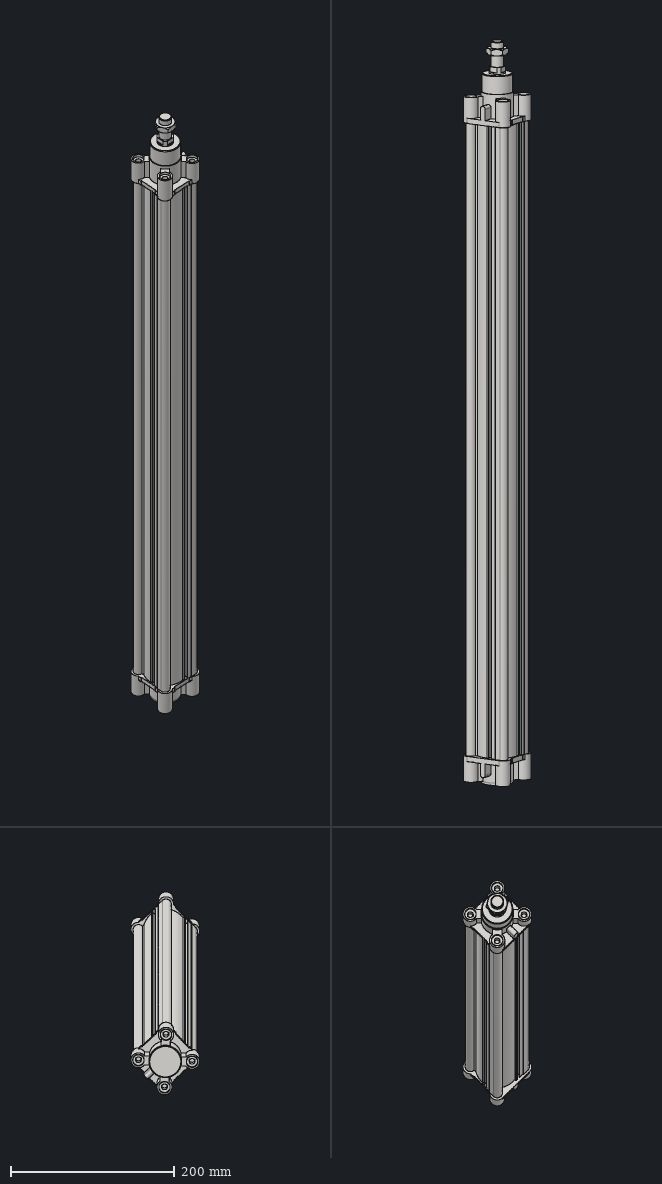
import cadquery as cq
import math


overall_length = 929.0
rear_collar_height = 4.0
cover_length = 32.5
cover_base_thickness = 6.5
front_mount_face = 861.0
front_collar_top = 889.0
spigot_height = 5.0
rod_shoulder = 897.0
tube_start = rear_collar_height + cover_length
tube_end = front_mount_face - cover_length

collar_diameter = 38.0
collar_chamfer = 1.0
rear_collar_chamfer = 1.0
cover_core_diameter = 40.0
post_pitch = 46.0
post_diameter = 19.0
web_width = 11.0
base_notch_width = 24.0
base_notch_depth = 1.0
port_side_reach = 32.5
port_boss_width = 7.0
port_boss_drop = 8.0
screw_recess_diameter = 14.0
screw_recess_depth = 4.0
screw_hole_diameter = 7.0
screw_hole_depth = 15.0

tube_core_diameter = 54.0
tube_width = 59.0
tube_corner_diameter = tube_width - post_pitch
rail_step_x = 16.0
rail_start_x = 4.0
rail_depth = 1.0
slot_center_x = 7.9
slot_width = 4.0
slot_channel_diameter = 7.0
slot_channel_inset = 5.0

rod_diameter = 20.0
rod_flat_width = 18.0
rod_flat_length = 6.5
thread_diameter = 16.0
thread_tip_diameter = 14.0
nut_width = 24.0
nut_height = 8.0
nut_top = 921.0
nut_chamfer_height = 2.0
half_hex_angle = 30

quarter_turns = [0, 90, 180, 270]
half_pitch = post_pitch / 2
post_points = [(x, y) for x in (-half_pitch, half_pitch) for y in (-half_pitch, half_pitch)]


def cylinder(diameter, bottom, top):
    return cq.Workplane("XY").workplane(offset=bottom).circle(diameter / 2).extrude(top - bottom)


def block(x_min, x_max, y_min, y_max, bottom, top):
    return cq.Workplane("XY").box(
        x_max - x_min, y_max - y_min, top - bottom, centered=False
    ).translate((x_min, y_min, bottom))


def turn(body, angle):
    return body.rotate((0, 0, 0), (0, 0, 1), angle)


def make_cover():
    """End cover with its tube side at z = 0 and its mounting face at z = cover_length."""
    cover = cylinder(cover_core_diameter, 0, cover_length)
    half_base = tube_width / 2
    base = block(-half_base, half_base, -half_base, half_base, 0, cover_base_thickness)
    notch = block(
        -base_notch_width / 2, base_notch_width / 2,
        -half_base, base_notch_depth - half_base, 0, cover_base_thickness,
    )
    for angle in quarter_turns:
        base = base.cut(turn(notch, angle))
    cover = cover.union(base)

    web_reach = math.hypot(half_pitch, half_pitch)
    for angle in (45, 135):
        web = block(-web_reach, web_reach, -web_width / 2, web_width / 2, 0, cover_length)
        cover = cover.union(turn(web, angle))
    for x, y in post_points:
        cover = cover.union(cylinder(post_diameter, 0, cover_length).translate((x, y, 0)))

    boss_radius = port_boss_width / 2
    boss_center_height = cover_length - port_boss_drop - boss_radius
    port_base = block(-half_pitch, half_pitch, 0, port_side_reach, 0, cover_base_thickness)
    boss_wall = block(-boss_radius, boss_radius, 0, port_side_reach, 0, boss_center_height)
    boss_top = (
        cq.Workplane("XZ", origin=(0, 0, boss_center_height)).circle(boss_radius).extrude(-port_side_reach)
    )
    cover = cover.union(port_base).union(boss_wall).union(boss_top)

    recess = cylinder(screw_recess_diameter, cover_length - screw_recess_depth, cover_length)
    hole = cylinder(screw_hole_diameter, cover_length - screw_hole_depth, cover_length)
    for x, y in post_points:
        cover = cover.cut(recess.union(hole).translate((x, y, 0)))
    return cover


def make_tube():
    """Round tube with four corner ribs and a slotted rail on each side."""
    half_width = tube_width / 2
    tube = cylinder(tube_core_diameter, tube_start, tube_end)
    for angle in quarter_turns:
        corner = cylinder(tube_corner_diameter, tube_start, tube_end).translate((half_pitch, -half_pitch, 0))
        shoulder = block(rail_step_x, half_pitch, -half_width, 0, tube_start, tube_end)
        rail = block(rail_start_x, rail_step_x, rail_depth - half_width, 0, tube_start, tube_end)
        tube = tube.union(turn(corner.union(shoulder).union(rail), angle))
    channel_y = slot_channel_inset - half_width
    opening = block(
        slot_center_x - slot_width / 2, slot_center_x + slot_width / 2,
        -half_width, channel_y, tube_start, tube_end,
    )
    channel = cylinder(slot_channel_diameter, tube_start, tube_end).translate((slot_center_x, channel_y, 0))
    slot = opening.union(channel)
    for angle in quarter_turns:
        tube = tube.cut(turn(slot, angle))
    return tube


def make_housing():
    front_cover = make_cover().translate((0, 0, tube_end))
    rear_cover = make_cover().mirror("XY").translate((0, 0, tube_start))
    housing = make_tube().union(front_cover).union(rear_cover)

    spigot = cylinder(cover_core_diameter, front_mount_face, front_mount_face + spigot_height)
    front_collar = cylinder(collar_diameter, front_mount_face, front_collar_top)
    front_collar = front_collar.faces(">Z").chamfer(collar_chamfer)
    rear_collar = cylinder(cover_core_diameter, 0, rear_collar_height)
    rear_collar = rear_collar.faces("<Z").chamfer(rear_collar_chamfer)
    housing = housing.union(spigot).union(front_collar).union(rear_collar)
    return housing.cut(cylinder(rod_diameter, tube_end, front_collar_top))


def make_rod():
    """Rod with four wrench flats below its threaded end."""
    shank = cylinder(rod_diameter, tube_end, rod_shoulder)
    flat_bottom = rod_shoulder - rod_flat_length
    half_flat = rod_flat_width / 2
    flats = block(-half_flat, half_flat, -half_flat, half_flat, flat_bottom, rod_shoulder)
    shank = shank.cut(cylinder(rod_diameter, flat_bottom, rod_shoulder).cut(flats))
    tip_chamfer = (thread_diameter - thread_tip_diameter) / 2
    thread = cylinder(thread_diameter, rod_shoulder, overall_length).faces(">Z").chamfer(tip_chamfer)
    return shank.union(thread)


def make_nut():
    """Hexagon nut with two sides facing -X and +X."""
    nut_bottom = nut_top - nut_height
    corner_width = nut_width / math.cos(math.radians(half_hex_angle))
    prism = turn(
        cq.Workplane("XY").workplane(offset=nut_bottom).polygon(6, corner_width).extrude(nut_height),
        half_hex_angle,
    )
    chamfered = cylinder(corner_width, nut_bottom, nut_top).edges().chamfer(
        nut_chamfer_height, (corner_width - nut_width) / 2
    )
    return prism.intersect(chamfered).cut(cylinder(thread_diameter, nut_bottom, nut_top))


housing = make_housing()
rod = make_rod()
nut = make_nut()
result = cq.Compound.makeCompound([housing.val(), rod.val(), nut.val()])